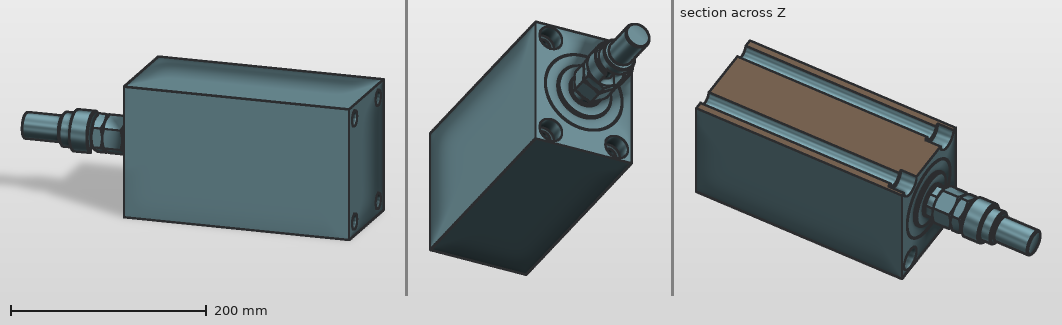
import cadquery as cq
import math

TOTAL_LENGTH = 367.5
BLOCK_WIDTH = 110.0
BLOCK_HEIGHT = 140.0

STUD_END = 40.5
SHOULDER_START = 41.5
COLLAR_START = 53.5
COLLAR_END = 74.0
HEX_START = 76.8
HEX_JOINT = 88.5
HEX_END = 110.2
FLATS_END = 119.0
GLAND_FRONT = 121.3
BLOCK_FRONT = 124.5

BLOCK_EDGE_CHAMFER = 0.5
HOLE_SPACING_Y = 75.0
HOLE_SPACING_Z = 110.2
HOLE_DIAMETER = 16.5
COUNTERBORE_DIAMETER = 25.7
COUNTERBORE_DEPTH = 18.5

GLAND_DIAMETER = 87.5
GLAND_DEPTH = 25.7
GLAND_NOSE_DIAMETER = 60.5
GLAND_NOSE_CHAMFER = 1.0
JOINT_CHAMFER = 0.55

ROD_DIAMETER = 36.0
ROD_TIP_DIAMETER = 35.0
ROD_FLATS_WIDTH = 32.0

HEX_SIDES = 6
HEX_WIDTH = 36.0
HEX_FACE_DIAMETER = 35.3
HEX_CHAMFER_ANGLE = 30.0
PIN_DIAMETER = 18.7

STUD_DIAMETER = 27.5
STUD_CHAMFER = 1.0
UNDERCUT_DIAMETER = 25.5
SHOULDER_DIAMETER = 36.0
COLLAR_DIAMETER = 43.7
COUPLING_CHAMFER = 1.0
SLOT_START = 51.5


def cylinder(diameter, start, end):
    """Cylinder on the X axis between two stations."""
    return cq.Workplane("YZ").workplane(offset=start).circle(diameter / 2).extrude(end - start)


def make_block():
    """Block with chamfered long edges, four screw holes and a seat for the gland."""
    length = TOTAL_LENGTH - BLOCK_FRONT
    block = cq.Workplane("XY").box(length, BLOCK_WIDTH, BLOCK_HEIGHT, centered=(False, True, True))
    block = block.translate((BLOCK_FRONT, 0, 0)).edges("|X").chamfer(BLOCK_EDGE_CHAMFER)
    block = (
        block.faces("<X").workplane(centerOption="CenterOfBoundBox")
        .rect(HOLE_SPACING_Y, HOLE_SPACING_Z, forConstruction=True)
        .vertices()
        .cboreHole(HOLE_DIAMETER, COUNTERBORE_DIAMETER, COUNTERBORE_DEPTH)
    )
    seat = cylinder(GLAND_DIAMETER, BLOCK_FRONT, BLOCK_FRONT + GLAND_DEPTH)
    mouth = (
        cq.Workplane("YZ").workplane(offset=BLOCK_FRONT)
        .circle(GLAND_DIAMETER / 2 + JOINT_CHAMFER)
        .extrude(JOINT_CHAMFER, taper=45)
    )
    return block.cut(seat).cut(mouth)


def make_gland():
    """Bush flush with the block, with a raised nose around the rod."""
    back = BLOCK_FRONT + GLAND_DEPTH
    flange = cylinder(GLAND_DIAMETER, BLOCK_FRONT, back).faces("<X").chamfer(JOINT_CHAMFER)
    nose = cylinder(GLAND_NOSE_DIAMETER, GLAND_FRONT, back).faces("<X").chamfer(GLAND_NOSE_CHAMFER)
    return flange.union(nose).cut(cylinder(ROD_DIAMETER, GLAND_FRONT, back))


def make_rod():
    """Piston rod whose tip has four wrench flats."""
    shaft = cylinder(ROD_DIAMETER, FLATS_END, BLOCK_FRONT + GLAND_DEPTH)
    tip = cylinder(ROD_TIP_DIAMETER, HEX_END, FLATS_END)
    square = (
        cq.Workplane("YZ").workplane(offset=HEX_END)
        .rect(ROD_FLATS_WIDTH, ROD_FLATS_WIDTH).extrude(FLATS_END - HEX_END)
    )
    return shaft.union(tip.intersect(square))


def hexagon(start, end):
    """Hexagon with corners at +Z and -Z, both ends chamfered like a nut."""
    corner_diameter = HEX_WIDTH / math.cos(math.pi / HEX_SIDES)
    prism = (
        cq.Workplane("YZ").workplane(offset=start)
        .polygon(HEX_SIDES, corner_diameter).extrude(end - start)
        .rotate((0, 0, 0), (1, 0, 0), 90)
    )
    radial = (corner_diameter - HEX_FACE_DIAMETER) / 2
    axial = radial * math.tan(math.radians(HEX_CHAMFER_ANGLE))
    envelope = (
        cq.Workplane("XY")
        .moveTo(start, 0)
        .lineTo(start, HEX_FACE_DIAMETER / 2)
        .lineTo(start + axial, corner_diameter / 2)
        .lineTo(end - axial, corner_diameter / 2)
        .lineTo(end, HEX_FACE_DIAMETER / 2)
        .lineTo(end, 0)
        .close()
        .revolve(360, (0, 0, 0), (1, 0, 0))
    )
    return prism.intersect(envelope)


def make_pin():
    """Pin with a plain shank, a narrow hexagon and a wide hexagon against the rod tip."""
    shank = cylinder(PIN_DIAMETER, SLOT_START, HEX_JOINT)
    return shank.union(hexagon(HEX_START, HEX_JOINT)).union(hexagon(HEX_JOINT, HEX_END))


def make_coupling():
    """Stud with a slotted collar that receives the pin from below."""
    stud = cylinder(STUD_DIAMETER, 0, STUD_END).faces("<X or >X").chamfer(STUD_CHAMFER)
    undercut = cylinder(UNDERCUT_DIAMETER, STUD_END - STUD_CHAMFER, SHOULDER_START)
    shoulder = cylinder(SHOULDER_DIAMETER, SHOULDER_START, COLLAR_START)
    shoulder = shoulder.faces("<X").chamfer(COUPLING_CHAMFER)
    collar = cylinder(COLLAR_DIAMETER, COLLAR_START, COLLAR_END)
    collar = collar.faces("<X or >X").chamfer(COUPLING_CHAMFER)
    slot_bore = cylinder(PIN_DIAMETER, SLOT_START, COLLAR_END)
    slot_mouth = (
        cq.Workplane("XY")
        .box(COLLAR_END - SLOT_START, PIN_DIAMETER, COLLAR_DIAMETER, centered=(False, True, False))
        .translate((SLOT_START, 0, -COLLAR_DIAMETER))
    )
    body = stud.union(undercut).union(shoulder).union(collar)
    return body.cut(slot_bore).cut(slot_mouth)


block = make_block()
gland = make_gland()
rod = make_rod()
pin = make_pin()
coupling = make_coupling()

result = cq.Compound.makeCompound(
    [block.val(), gland.val(), rod.val(), pin.val(), coupling.val()]
)